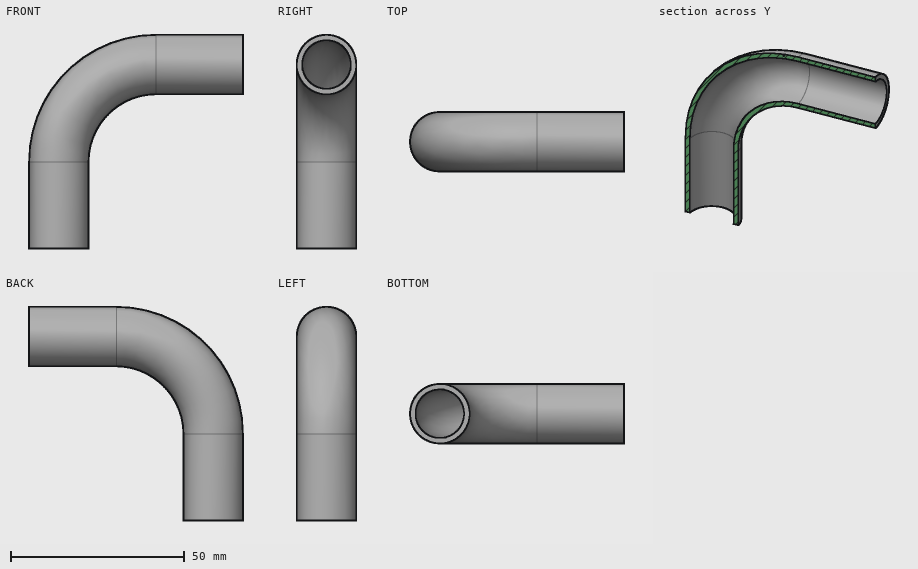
import cadquery as cq

overall_size = 61.6
outer_diameter = 17.2
bore_diameter = 14.0
bend_radius = 27.95

leg_length = overall_size - outer_diameter / 2 - bend_radius


def bent_rod(diameter):
    """Round rod: a leg up +Z, a quarter bend, then a leg along +X."""
    radius = diameter / 2
    lower_leg = cq.Workplane("XY").circle(radius).extrude(leg_length)
    bend = (
        cq.Workplane("XY", origin=(0, 0, leg_length))
        .circle(radius)
        .revolve(90, (bend_radius, 0, 0), (bend_radius, 1, 0))
    )
    upper_leg = (
        cq.Workplane("YZ", origin=(bend_radius, 0, leg_length + bend_radius))
        .circle(radius)
        .extrude(leg_length)
    )
    return lower_leg.union(bend).union(upper_leg)


result = bent_rod(outer_diameter).cut(bent_rod(bore_diameter))